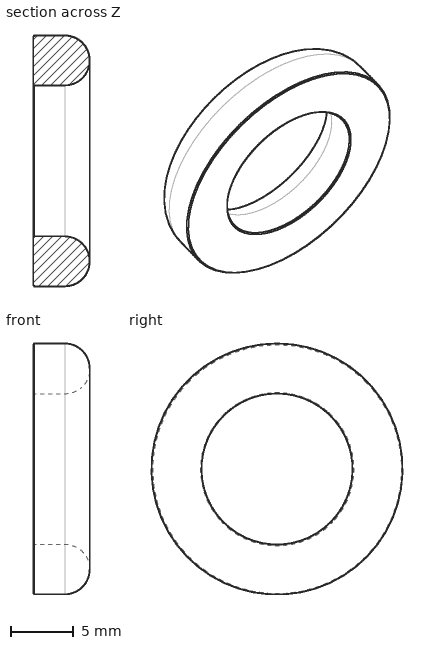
import cadquery as cq

outer_diameter = 20.0
bore_diameter = 12.0
thickness = 4.5
edge_chamfer = 0.1

outer_radius = outer_diameter / 2
bore_radius = bore_diameter / 2
round_radius = (outer_radius - bore_radius) / 2
mid_radius = (outer_radius + bore_radius) / 2
straight_length = thickness - round_radius


def ring_profile():
    """Wall section in the XZ plane: chamfered flat back and a full-round +X end."""
    return (
        cq.Workplane("XZ")
        .moveTo(0, bore_radius + edge_chamfer)
        .lineTo(0, outer_radius - edge_chamfer)
        .lineTo(edge_chamfer, outer_radius)
        .lineTo(straight_length, outer_radius)
        .threePointArc((thickness, mid_radius), (straight_length, bore_radius))
        .lineTo(edge_chamfer, bore_radius)
        .close()
    )


result = ring_profile().revolve(360, (0, 0, 0), (1, 0, 0))